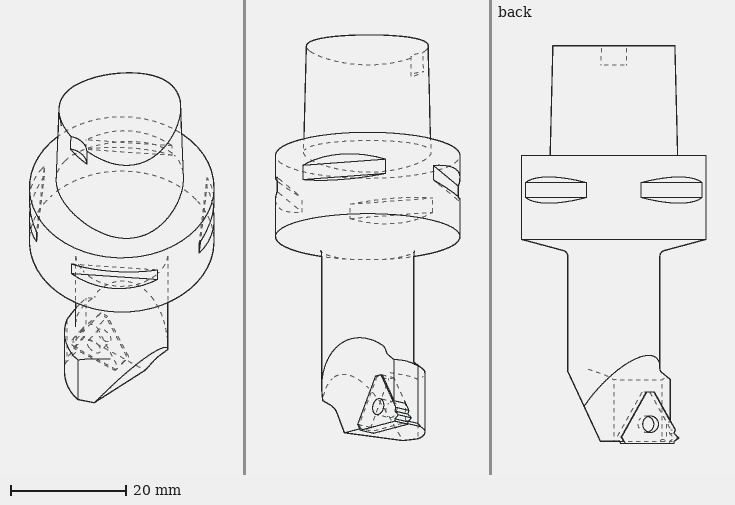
import cadquery as cq
import math


TAPER_LENGTH = 19.05
TAPER_RADIUS = 11.0
LOBE_HEIGHT = 0.7
TAPER_RATIO = 1 / 40
CURVE_STEPS = 8
LOBE_COUNT = 3
LOBE_HALF_ANGLE = 17
KEYWAY_RADIUS = 3.6
KEYWAY_AXIS_Y = -12.55
KEYWAY_LENGTH = 3.4

FLANGE_RADIUS = 16.0
FLANGE_BOTTOM = -14.55
FLANGE_CONE_ANGLE = 15
SHANK_RADIUS = 8.0
NECK_FILLET = 1.0

POCKET_COUNT = 4
POCKET_FLOOR_RADIUS = 14.15
POCKET_FLOOR_HEIGHT = 2.55
POCKET_MOUTH_HEIGHT = 4.55
POCKET_Z = -6.0

HEAD_RADIUS = 9.95
SHANK_END = -37.3
HEAD_FILLET = 0.75
SHOULDER_Z = -38.9
HEAD_BOTTOM = -49.55
HEAD_TURN = 15
FACE_DISTANCE = 9.45
FACE_HALF_WIDTH = 5.5
FACE_CHAMFER = 0.35
FLANK_START = (0.0, -9.9)
FLANK_END_X = 4.7
LAND_WIDTH = 1.0

RELIEF_ANGLE = 25
RELIEF_START_Z = -37.4

SEAT_OFFSET = 2.6
GULLET_CORNER_ALONG = 2.1
GULLET_CORNER_Z = -42.45
GULLET_SLOPE = 32
ROOF_ANGLE = 128
GULLET_FILLET = 2.1

INSERT_INRADIUS = 3.4
INSERT_ANGLE = 60
INSERT_CENTER_OUT = 5.8
INSERT_BOTTOM = TAPER_LENGTH - 69
INSERT_THICKNESS = 3.1
INSERT_RISE = 0.35
INSERT_HOLE_DIAMETER = 2.8
CORNER_CUT = 1.2
TOOTH_TIP = (10.9, 1.0)
TOOTH_ROOT_TOP = 1.8
NOTCH_TOP = 2.4
TOOTH_ROOT_BOTTOM = 0.4
NOSE_REACH = 10.0

FAR = 27.6
SELECT_BAND = 0.1


def turned(out, side):
    """Point given by its distances out toward the cutting edge and sideways, in X and Y."""
    cosine = math.cos(math.radians(HEAD_TURN))
    sine = math.sin(math.radians(HEAD_TURN))
    return (-out * cosine - side * sine, -out * sine + side * cosine)


def edges_at_height(z):
    """Selector for the edges whose centre lies at the given height."""
    return cq.selectors.BoxSelector((-FAR, -FAR, z - SELECT_BAND), (FAR, FAR, z + SELECT_BAND))


def lobed_outline(z, mean_radius):
    """Three-lobed taper section with one lobe toward +Y, in alternating crest and flank curves."""
    harmonic = LOBE_COUNT - 1

    def point(t):
        x = -mean_radius * math.sin(t) + LOBE_HEIGHT * math.sin(harmonic * t)
        y = mean_radius * math.cos(t) + LOBE_HEIGHT * math.cos(harmonic * t)
        return cq.Vector(x, y, z)

    def tangent(t):
        x = -mean_radius * math.cos(t) + harmonic * LOBE_HEIGHT * math.cos(harmonic * t)
        y = -mean_radius * math.sin(t) - harmonic * LOBE_HEIGHT * math.sin(harmonic * t)
        return cq.Vector(x, y, 0)

    def curve(start_angle, end_angle):
        start = math.radians(start_angle)
        end = math.radians(end_angle)
        step = (end - start) / CURVE_STEPS
        points = [point(start + step * i) for i in range(CURVE_STEPS + 1)]
        return cq.Edge.makeSpline(points, tangents=[tangent(start), tangent(end)])

    edges = []
    pitch = 360 / LOBE_COUNT
    for i in range(LOBE_COUNT):
        lobe_angle = i * pitch
        crest_end = lobe_angle + LOBE_HALF_ANGLE
        edges.append(curve(lobe_angle - LOBE_HALF_ANGLE, crest_end))
        edges.append(curve(crest_end, lobe_angle + pitch - LOBE_HALF_ANGLE))
    return cq.Wire.assembleEdges(edges)


def make_taper():
    end_radius = TAPER_RADIUS - TAPER_LENGTH * TAPER_RATIO
    wires = [lobed_outline(0, TAPER_RADIUS), lobed_outline(TAPER_LENGTH, end_radius)]
    taper = cq.Workplane(cq.Solid.makeLoft(wires, True))
    keyway = (
        cq.Workplane("XY", origin=(0, KEYWAY_AXIS_Y, TAPER_LENGTH))
        .circle(KEYWAY_RADIUS)
        .extrude(-KEYWAY_LENGTH)
    )
    return taper.cut(keyway)


def make_turned_body():
    """Flange, cone, shank and the round blank of the head, as one turned shape."""
    cone_drop = (FLANGE_RADIUS - SHANK_RADIUS) * math.tan(math.radians(FLANGE_CONE_ANGLE))
    neck_z = FLANGE_BOTTOM - cone_drop
    profile = (
        cq.Workplane("XZ")
        .polyline([
            (0, 0),
            (FLANGE_RADIUS, 0),
            (FLANGE_RADIUS, FLANGE_BOTTOM),
            (SHANK_RADIUS, neck_z),
            (SHANK_RADIUS, HEAD_BOTTOM),
            (0, HEAD_BOTTOM),
        ])
        .close()
    )
    body = profile.revolve(360, (0, 0, 0), (0, 1, 0))
    neck = edges_at_height(neck_z)
    return body.edges(neck).fillet(NECK_FILLET)


def make_head():
    """Overhang of the head: a turned collar trimmed to the head outline."""
    collar = (
        cq.Workplane("XZ")
        .polyline([
            (0, SHANK_END + HEAD_FILLET),
            (SHANK_RADIUS, SHANK_END + HEAD_FILLET),
            (SHANK_RADIUS, SHANK_END),
            (HEAD_RADIUS, SHOULDER_Z),
            (HEAD_RADIUS, HEAD_BOTTOM),
            (0, HEAD_BOTTOM),
        ])
        .close()
        .revolve(360, (0, 0, 0), (0, 1, 0))
    )
    shank_end = edges_at_height(SHANK_END)
    collar = collar.edges(shank_end).fillet(HEAD_FILLET)

    flank_end = (FLANK_END_X, -math.sqrt(SHANK_RADIUS**2 - FLANK_END_X**2))
    land_start = (FLANK_START[0] - LAND_WIDTH, FLANK_START[1])
    outline = (
        cq.Workplane("XY", origin=(0, 0, HEAD_BOTTOM))
        .polyline([
            (0, 0),
            turned(0, FACE_HALF_WIDTH),
            turned(FACE_DISTANCE, FACE_HALF_WIDTH),
            turned(FACE_DISTANCE, -FACE_HALF_WIDTH),
            (land_start[0] - HEAD_RADIUS, land_start[1]),
            land_start,
            FLANK_START,
            flank_end,
        ])
        .close()
        .extrude(SHANK_END + HEAD_FILLET - HEAD_BOTTOM)
    )
    head = collar.intersect(outline)
    face_x, face_y = turned(FACE_DISTANCE, 0)
    face_edge = cq.selectors.NearestToPointSelector((face_x, face_y, HEAD_BOTTOM))
    return head.edges(face_edge).chamfer(FACE_CHAMFER)


def make_pockets():
    """Flat pockets with flared walls, spaced evenly between the X and Y directions."""
    floor_half = POCKET_FLOOR_HEIGHT / 2
    mouth_half = POCKET_MOUTH_HEIGHT / 2
    section = (
        cq.Workplane("XZ", origin=(0, 0, POCKET_Z))
        .polyline([
            (POCKET_FLOOR_RADIUS, -floor_half),
            (FLANGE_RADIUS, -mouth_half),
            (FLANGE_RADIUS, mouth_half),
            (POCKET_FLOOR_RADIUS, floor_half),
        ])
        .close()
        .extrude(FLANGE_RADIUS, both=True)
    )
    step = 360 / POCKET_COUNT
    return [section.rotate((0, 0, 0), (0, 0, 1), step * (i + 0.5)) for i in range(POCKET_COUNT)]


def make_relief():
    lean = math.tan(math.radians(RELIEF_ANGLE))
    return (
        cq.Workplane("XZ")
        .polyline([
            (SHANK_RADIUS, RELIEF_START_Z),
            (SHANK_RADIUS + FAR * lean, RELIEF_START_Z),
            (SHANK_RADIUS + FAR * lean, RELIEF_START_Z - FAR),
            (SHANK_RADIUS - FAR * lean, RELIEF_START_Z - FAR),
        ])
        .close()
        .extrude(FAR, both=True)
    )


def make_gullet():
    x, y = turned(-GULLET_CORNER_ALONG, SEAT_OFFSET)
    side_x, side_y = turned(0, 1)
    back_x, back_y = turned(-1, 0)
    slope = math.radians(GULLET_SLOPE)
    corner_plane = cq.Plane(
        origin=(x, y, GULLET_CORNER_Z),
        xDir=(side_x, side_y, 0),
        normal=(back_x * math.cos(slope), back_y * math.cos(slope), -math.sin(slope)),
    )
    roof_lift = math.radians(ROOF_ANGLE - 90)
    gullet = (
        cq.Workplane(corner_plane)
        .polyline([
            (0, 0),
            (FAR, FAR * math.tan(roof_lift)),
            (FAR, -FAR),
            (0, -FAR),
        ])
        .close()
        .extrude(FAR, both=True)
    )
    corner = cq.selectors.NearestToPointSelector((x, y, GULLET_CORNER_Z))
    return gullet.edges(corner).fillet(GULLET_FILLET)


def make_insert_blank():
    """Three-cornered plate with blunted corners and a tooth beside its outer corner."""
    slant = math.tan(math.radians(INSERT_ANGLE))
    half_side = INSERT_INRADIUS * slant
    apex_z = 3 * INSERT_INRADIUS
    outer = INSERT_CENTER_OUT + half_side
    inner = INSERT_CENTER_OUT - half_side
    blunt = CORNER_CUT / slant
    x, y = turned(0, SEAT_OFFSET + INSERT_RISE)
    out_x, out_y = turned(1, 0)
    side_x, side_y = turned(0, 1)
    face_plane = cq.Plane(
        origin=(x, y, INSERT_BOTTOM),
        xDir=(out_x, out_y, 0),
        normal=(side_x, side_y, 0),
    )
    outline = [
        (inner + 2 * blunt, 0),
        (NOSE_REACH, 0),
        (NOSE_REACH, TOOTH_ROOT_BOTTOM),
        TOOTH_TIP,
        (NOSE_REACH, TOOTH_ROOT_TOP),
        (outer - NOTCH_TOP / slant, NOTCH_TOP),
        (INSERT_CENTER_OUT + blunt, apex_z - CORNER_CUT),
        (INSERT_CENTER_OUT - blunt, apex_z - CORNER_CUT),
        (inner + blunt, CORNER_CUT),
    ]
    plate = (
        cq.Workplane(face_plane)
        .polyline(outline)
        .close()
        .extrude(-INSERT_THICKNESS)
    )
    hole = (
        cq.Workplane(face_plane)
        .center(INSERT_CENTER_OUT, INSERT_INRADIUS)
        .circle(INSERT_HOLE_DIAMETER / 2)
        .extrude(-INSERT_THICKNESS)
    )
    return plate, hole


def make_holder(insert_blank):
    holder = make_turned_body().union(make_taper()).union(make_head())
    for pocket in make_pockets():
        holder = holder.cut(pocket)
    return holder.cut(make_relief()).cut(make_gullet()).cut(insert_blank)


insert_blank, insert_hole = make_insert_blank()
holder = make_holder(insert_blank)
insert = insert_blank.cut(insert_hole)

result = cq.Compound.makeCompound([holder.val(), insert.val()])